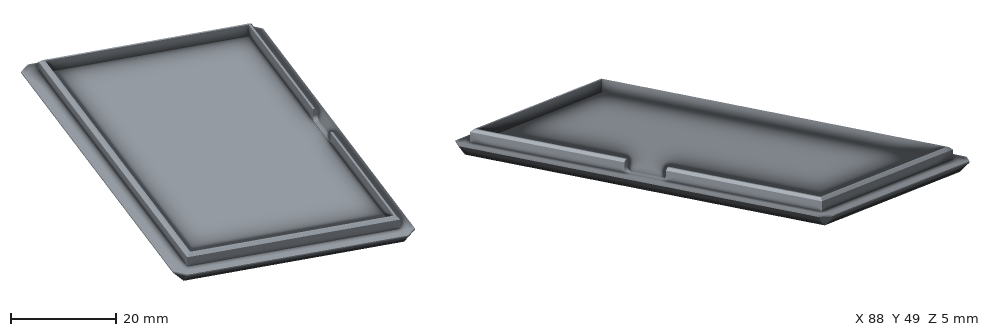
import cadquery as cq

flange_length = 88.0
flange_width = 49.0
flange_height = 2.5
flange_edge = 0.3
flange_taper = flange_height - flange_edge

total_height = 5.0
rim_length = 81.8
rim_width = 43.1
rim_offset_x = 0.1
rim_offset_y = 0.3
rim_wall = 1.0
rim_chamfer = 0.5

notch_x = 0.3
notch_width = 9.7
notch_floor_z = 2.6
notch_fillet = 1.0


def make_flange():
    """Plate with sloping sides and corner facets that end in points at the bottom."""
    base_length = flange_length - 2 * flange_taper
    base_width = flange_width - 2 * flange_taper
    plate = (
        cq.Workplane("XY")
        .rect(base_length, base_width)
        .workplane(offset=flange_taper)
        .rect(flange_length, flange_width)
        .loft(ruled=True)
        .faces(">Z")
        .workplane()
        .rect(flange_length, flange_width)
        .extrude(flange_edge)
    )
    clipped = (
        cq.Workplane("XY")
        .rect(flange_length, flange_width)
        .extrude(flange_height)
        .edges("|Z")
        .chamfer(flange_taper)
    )
    plate = plate.intersect(clipped)
    for side_x in (-1, 1):
        for side_y in (-1, 1):
            inner_x = side_x * base_length / 2
            inner_y = side_y * base_width / 2
            outer_x = side_x * flange_length / 2
            outer_y = side_y * flange_width / 2
            bottom_corner = cq.Vector(inner_x, inner_y, 0)
            facet_end_x = cq.Vector(outer_x, inner_y, flange_taper)
            facet_end_y = cq.Vector(inner_x, outer_y, flange_taper)
            outer_corner = cq.Vector(outer_x, outer_y, flange_taper)
            plate = plate.cut(make_tetrahedron(bottom_corner, facet_end_x, facet_end_y, outer_corner))
    return plate


def make_tetrahedron(a, b, c, d):
    """Solid with four triangular faces."""
    triangles = [(a, b, c), (a, b, d), (a, c, d), (b, c, d)]
    faces = [cq.Face.makeFromWires(cq.Wire.makePolygon(t, close=True)) for t in triangles]
    return cq.Workplane(cq.Solid.makeSolid(cq.Shell.makeShell(faces)))


def make_rim():
    """Rectangular wall with its outer top edge chamfered."""
    rim_height = total_height - flange_height
    base = cq.Workplane("XY").workplane(offset=flange_height).center(rim_offset_x, rim_offset_y)
    outer = base.rect(rim_length, rim_width).extrude(rim_height)
    outer = outer.faces(">Z").edges().chamfer(rim_chamfer)
    inner = base.rect(rim_length - 2 * rim_wall, rim_width - 2 * rim_wall).extrude(rim_height)
    return outer.cut(inner)


def make_notch():
    """Cutter with rounded lower corners, spanning the +Y wall."""
    wall_y = rim_offset_y + rim_width / 2 - rim_wall / 2
    return (
        cq.Workplane("XY", origin=(notch_x, wall_y, notch_floor_z))
        .box(notch_width, 2 * rim_wall, total_height, centered=(True, True, False))
        .edges("|Y and <Z")
        .fillet(notch_fillet)
    )


result = make_flange().union(make_rim()).cut(make_notch())